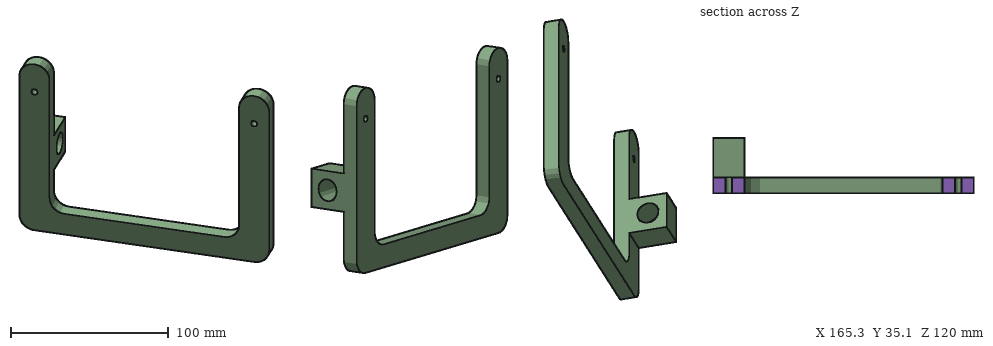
import cadquery as cq

width = 165.3
height = 120.0
thickness = 10.1
arm_width = 20.0
base_height = 15.0
corner_radius = arm_width / 2
inner_radius = 10.0

screw_hole_diameter = 4.0
screw_hole_drop = 20.0

block_depth = 25.0
block_height = 25.0
block_center_z = 52.5
cross_hole_diameter = 14.0

arm_center_x = width / 2 - arm_width / 2
tip_radius = arm_width / 2


def make_frame():
    half_width = width / 2
    inner_x = half_width - arm_width
    tip_z = height - tip_radius
    outline = (
        cq.Workplane("XZ")
        .moveTo(-half_width, 0)
        .lineTo(half_width, 0)
        .lineTo(half_width, tip_z)
        .threePointArc((arm_center_x, height), (inner_x, tip_z))
        .lineTo(inner_x, base_height)
        .lineTo(-inner_x, base_height)
        .lineTo(-inner_x, tip_z)
        .threePointArc((-arm_center_x, height), (-half_width, tip_z))
        .close()
    )
    frame = outline.extrude(-thickness)
    frame = frame.edges("|Y").edges("<Z").fillet(corner_radius)
    inner_corners = cq.selectors.BoxSelector(
        (-half_width, -thickness, base_height - inner_radius / 2),
        (half_width, 2 * thickness, base_height + inner_radius / 2),
    )
    return frame.edges("|Y").edges(inner_corners).fillet(inner_radius)


def make_block():
    block = cq.Workplane("XY").box(arm_width, block_depth, block_height)
    block = block.faces("<X").workplane().hole(cross_hole_diameter)
    return block.translate((-arm_center_x, thickness + block_depth / 2, block_center_z))


def make_screw_holes():
    centers = [(side * arm_center_x, height - screw_hole_drop) for side in (-1, 1)]
    return cq.Workplane("XZ").pushPoints(centers).circle(screw_hole_diameter / 2).extrude(-thickness)


result = make_frame().cut(make_screw_holes()).union(make_block())